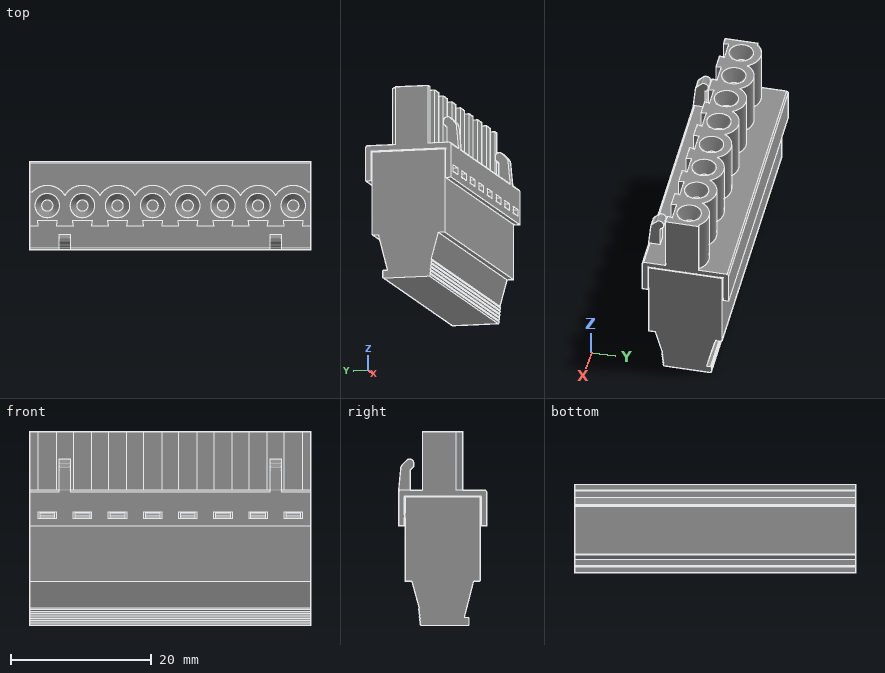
import cadquery as cq

POLES = 8
PITCH = 5.0
LENGTH = POLES * PITCH
DEPTH = 12.59
HEIGHT = 27.6

TAPER_TOP = 6.28
SKIRT_BOTTOM = 14.17
BODY_TOP = 18.33
PLATE_TOP = 19.26

BODY_HALF = 5.35
CLEARANCE = 0.12
END_GROOVE_DEPTH = 0.3
PLATE_CHAMFER = 0.23
BODY_EDGE_CHAMFER = 0.13

TAPER_HALF = 4.4
BACK_TAPER_END = (3.08, 1.15)
TOE_Y = 3.77
TOE_CHAMFER = 0.13
FOOT_FRONT_Y = -3.12
TEETH_TOP = (-3.36, 2.5)
TEETH = 5
TOOTH_HEIGHT = 0.12

SOCKET_RADIUS = 2.88
TOWER_FRONT = -2.9
END_WALL_Y = 1.9
END_WALL_WIDTH = 1.0
FUNNEL_MOUTH = 3.47
FUNNEL_FLOOR = 1.59
FUNNEL_DEPTH = 2.0
KEYWAY_DEPTH = 0.75
KEYWAY_INNER = 2.83
KEYWAY_MOUTH = 2.6

LATCH_X = (PITCH, LENGTH - PITCH)
LATCH_WIDTH = 1.6
LATCH_BACK = -4.6
LATCH_FRONT = -DEPTH / 2
LATCH_TOP = 23.7
HOOK_NECK_Z = 22.15
HOOK_OVERHANG = 0.48
HOOK_ROUND_Z = 23.2
CROWN_PEAK_Y = -4.6
CROWN_END = (-5.05, 23.6)
HOOK_SLOPE_END = (-5.6, 23.05)
HOOK_SHOULDER_MID = (-5.83, 22.79)
HOOK_SHOULDER_END = (-5.98, 22.46)

WINDOW_WIDTH = 2.65
WINDOW_BOTTOM = 15.22
WINDOW_TOP = 16.15
CATCH_WIDTH = 2.1
CATCH_MARGIN = 0.1
CATCH_FACE_HEIGHT = 0.25
CATCH_REACH = 0.45


def pole_x(index):
    """X of the centre of one pole."""
    return (index + 0.5) * PITCH


def box(x, y, z):
    """Box from (min, max) pairs along each axis."""
    size = (x[1] - x[0], y[1] - y[0], z[1] - z[0])
    return cq.Workplane("XY").box(*size, centered=False).translate((x[0], y[0], z[0]))


def along_x(outline, x_start, width):
    """Extrude a closed outline in the YZ plane along +X."""
    return outline.close().extrude(width).translate((x_start, 0, 0))


def make_body():
    """Straight body on a tapered foot with a toe behind and teeth in front."""
    toe_end, toe_top = BACK_TAPER_END
    teeth_y, teeth_z = TEETH_TOP
    outline = (
        cq.Workplane("YZ")
        .moveTo(FOOT_FRONT_Y, 0)
        .lineTo(TOE_Y - TOE_CHAMFER, 0)
        .lineTo(TOE_Y, TOE_CHAMFER)
        .lineTo(TOE_Y, toe_top - TOE_CHAMFER)
        .lineTo(TOE_Y - TOE_CHAMFER, toe_top)
        .lineTo(toe_end, toe_top)
        .lineTo(TAPER_HALF, TAPER_TOP)
        .lineTo(BODY_HALF - BODY_EDGE_CHAMFER, TAPER_TOP)
        .lineTo(BODY_HALF, TAPER_TOP + BODY_EDGE_CHAMFER)
        .lineTo(BODY_HALF, PLATE_TOP)
        .lineTo(-BODY_HALF, PLATE_TOP)
        .lineTo(-BODY_HALF, TAPER_TOP)
        .lineTo(-TAPER_HALF, TAPER_TOP)
        .lineTo(teeth_y, teeth_z)
    )
    tooth_pitch = teeth_z / TEETH
    tooth_drift = (FOOT_FRONT_Y - teeth_y) / TEETH
    for tooth in range(TEETH):
        root_y = teeth_y + tooth * tooth_drift
        root_z = teeth_z - tooth * tooth_pitch
        tip_y = root_y + tooth_drift / 2 - TOOTH_HEIGHT
        outline = outline.lineTo(tip_y, root_z - tooth_pitch / 2)
        if tooth < TEETH - 1:
            outline = outline.lineTo(root_y + tooth_drift, root_z - tooth_pitch)
    return along_x(outline, 0, LENGTH)


def make_cap():
    """Plate with front and back skirts, clear of the body except under the plate."""
    plate = box((0, LENGTH), (-DEPTH / 2, DEPTH / 2), (BODY_TOP, PLATE_TOP))
    plate = plate.edges("|X and >Z").chamfer(PLATE_CHAMFER)
    skirt_inner = BODY_HALF + CLEARANCE
    skirt_z = (SKIRT_BOTTOM, BODY_TOP)
    front = box((0, LENGTH), (-DEPTH / 2, -skirt_inner), skirt_z)
    back = box((0, LENGTH), (skirt_inner, DEPTH / 2), skirt_z)
    return plate.union(front).union(back)


def make_end_grooves():
    """Shallow gaps over the body on both end faces."""
    gap_y = (-BODY_HALF - CLEARANCE, BODY_HALF + CLEARANCE)
    gap_z = (BODY_TOP, BODY_TOP + CLEARANCE)
    near = box((0, END_GROOVE_DEPTH), gap_y, gap_z)
    far = box((LENGTH - END_GROOVE_DEPTH, LENGTH), gap_y, gap_z)
    return near.union(far)


def make_tower():
    """Row of merged round-backed sockets with square outer corners."""
    tower_z = (PLATE_TOP, HEIGHT)
    tower = box((0, LENGTH), (TOWER_FRONT, 0), tower_z)
    tower = tower.union(box((0, END_WALL_WIDTH), (0, END_WALL_Y), tower_z))
    tower = tower.union(box((LENGTH - END_WALL_WIDTH, LENGTH), (0, END_WALL_Y), tower_z))
    for index in range(POLES):
        socket = (
            cq.Workplane("XY", origin=(pole_x(index), 0, PLATE_TOP))
            .circle(SOCKET_RADIUS)
            .extrude(HEIGHT - PLATE_TOP)
        )
        tower = tower.union(socket)
    limits = box((0, LENGTH), (TOWER_FRONT, DEPTH / 2), tower_z)
    return tower.intersect(limits)


def make_funnel(x):
    """Conical contact opening with a flat floor."""
    return (
        cq.Workplane("XY", origin=(x, 0, HEIGHT))
        .circle(FUNNEL_MOUTH / 2)
        .workplane(offset=-FUNNEL_DEPTH)
        .circle(FUNNEL_FLOOR / 2)
        .loft(ruled=True)
    )


def make_keyway(x):
    """Dovetail coding groove along the front of one socket."""
    floor_y = TOWER_FRONT + KEYWAY_DEPTH
    return (
        cq.Workplane("XY", origin=(x, 0, PLATE_TOP))
        .moveTo(-KEYWAY_MOUTH / 2, TOWER_FRONT)
        .lineTo(KEYWAY_MOUTH / 2, TOWER_FRONT)
        .lineTo(KEYWAY_INNER / 2, floor_y)
        .lineTo(-KEYWAY_INNER / 2, floor_y)
        .close()
        .extrude(HEIGHT - PLATE_TOP)
    )


def make_latch(x):
    """Upright latch with a hook facing the tower."""
    root_z = PLATE_TOP - PLATE_CHAMFER
    outline = (
        cq.Workplane("YZ")
        .moveTo(LATCH_BACK, root_z)
        .lineTo(LATCH_BACK, HOOK_NECK_Z)
        .lineTo(LATCH_BACK + HOOK_OVERHANG, HOOK_NECK_Z + HOOK_OVERHANG)
        .lineTo(LATCH_BACK + HOOK_OVERHANG, HOOK_ROUND_Z)
        .threePointArc((CROWN_PEAK_Y, LATCH_TOP), CROWN_END)
        .lineTo(*HOOK_SLOPE_END)
        .threePointArc(HOOK_SHOULDER_MID, HOOK_SHOULDER_END)
        .lineTo(LATCH_FRONT, PLATE_TOP)
        .lineTo(LATCH_FRONT, root_z)
    )
    return along_x(outline, x - LATCH_WIDTH / 2, LATCH_WIDTH)


def make_window(x):
    """Rectangular opening through the front skirt."""
    half = WINDOW_WIDTH / 2
    return box((x - half, x + half), (-DEPTH / 2, -BODY_HALF), (WINDOW_BOTTOM, WINDOW_TOP))


def make_catch(x):
    """Snap catch on the body, sloped above and square below."""
    bottom = WINDOW_BOTTOM + CATCH_MARGIN
    face_y = -BODY_HALF - CATCH_REACH
    outline = (
        cq.Workplane("YZ")
        .moveTo(-BODY_HALF, bottom)
        .lineTo(-BODY_HALF, WINDOW_TOP - CATCH_MARGIN)
        .lineTo(face_y, bottom + CATCH_FACE_HEIGHT)
        .lineTo(face_y, bottom)
    )
    return along_x(outline, x - CATCH_WIDTH / 2, CATCH_WIDTH)


result = make_body().union(make_cap()).cut(make_end_grooves()).union(make_tower())
for pole in range(POLES):
    pole_centre = pole_x(pole)
    result = result.cut(make_funnel(pole_centre))
    result = result.cut(make_keyway(pole_centre))
    result = result.cut(make_window(pole_centre))
    result = result.union(make_catch(pole_centre))
for latch_x in LATCH_X:
    result = result.union(make_latch(latch_x))